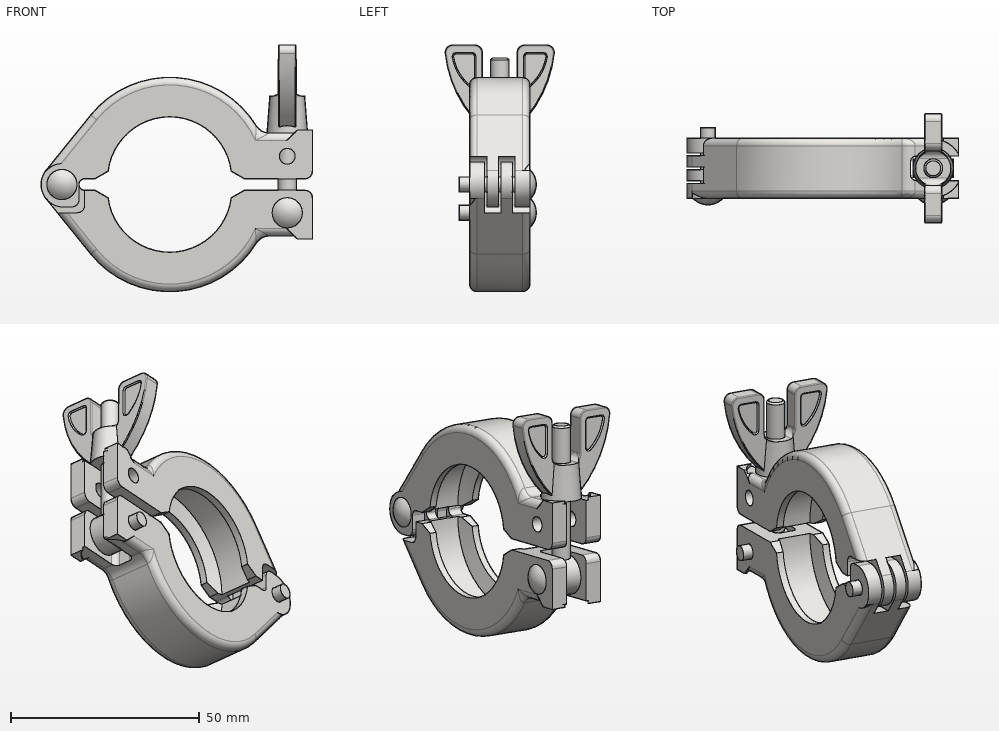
import cadquery as cq
import math

jaw_width = 16.0
half_gap = 1.5
ring_radius = 26.9
bore_radius = 16.4
groove_radius = 21.0
bore_lip = 2.0
groove_draft = 15.0
bevel_start = 19.8
bevel_angle = 30.0
edge_fillet = 2.0
corner_radius = 2.0

hinge_x = -28.6
shoulder_radius = 5.55
knuckle_radius = 6.0
knuckle_back = 4.5
knuckle_pitch = 3.7
knuckle_gap = 0.65
recess_clearance = 1.5

bolt_x = 31.2
lug_end_x = 37.9
lug_top = 14.5
lug_slope_run = 2.7
arm_top = 13.7
arm_blend = 4.0
spotface_radius = 7.7
slot_width = 6.5
slot_reach = 6.0
slot_corner = 1.5

pivot_z = 7.5
rivet_diameter = 4.0
rivet_hole_diameter = 4.2
rivet_head_diameter = 8.0
rivet_head_height = 1.7
rivet_tail = 2.8

bolt_diameter = 5.0
bolt_top = 33.55
bolt_chamfer = 0.5
eye_radius = 5.3

hub_base_diameter = 10.8
hub_top_diameter = 9.3
hub_top = 23.5
wing_thickness = 4.5
wing_span = 28.95
wing_top = 37.0
wing_foot = 14.75
wing_gap = 9.2
wing_curve = 31.7
wing_lean = 6.0
wing_corner = 2.0
wing_edge_fillet = 0.25
pocket_depth = 0.35
pocket_corner = 1.1
pocket_inner_y = 6.3
pocket_outer_y = 12.75
pocket_top = 35.0
pocket_bottom = 24.8
pocket_bulge = 1.1

tolerance = 0.001
half_width = jaw_width / 2
hinge_end_x = hinge_x - shoulder_radius
knuckle_x = hinge_end_x + knuckle_radius
knuckle_back_x = hinge_x + knuckle_back
recess_x = knuckle_back_x + recess_clearance
recess_z = knuckle_radius + recess_clearance
arm_end_x = bolt_x + lug_slope_run
arm_root_x = math.sqrt(ring_radius**2 - (arm_top - half_gap) ** 2)

axis_distance = math.hypot(knuckle_x, half_gap)
axis_angle = math.pi + math.atan2(half_gap, -knuckle_x)
flank_angle = axis_angle - math.acos((ring_radius - knuckle_radius) / axis_distance)
flank_at_ring = (
    ring_radius * math.cos(flank_angle),
    half_gap + ring_radius * math.sin(flank_angle),
)
flank_at_hinge = (
    knuckle_x + knuckle_radius * math.cos(flank_angle),
    knuckle_radius * math.sin(flank_angle),
)

bevel_slope = math.radians(bevel_angle)
bevel_length = bevel_start * math.cos(bevel_slope) - math.sqrt(
    bore_radius**2 - (bevel_start * math.sin(bevel_slope)) ** 2
)
bevel_end_x = bevel_start - bevel_length * math.cos(bevel_slope)
bevel_end_z = half_gap + bevel_length * math.sin(bevel_slope)


def extrude_along_y(outline, y_min=-half_width, y_max=half_width):
    """Extrude an outline on the XZ plane between two Y positions."""
    return outline.extrude(y_min - y_max).translate((0, y_min, 0))


def rod_along_y(x, z, radius, y_min=-half_width, y_max=half_width):
    return extrude_along_y(cq.Workplane("XZ").center(x, z).circle(radius), y_min, y_max)


def block(x_min, x_max, y_min, y_max, z_min, z_max):
    solid = cq.Workplane("XY").box(x_max - x_min, y_max - y_min, z_max - z_min, centered=False)
    return solid.translate((x_min, y_min, z_min))


def is_outer_rim(edge):
    """True for the side-face edges along the flank, the ring and the arm top."""
    middle = edge.positionAt(0.5)
    on_side_face = math.isclose(abs(middle.y), half_width, abs_tol=tolerance)
    from_ring_axis = math.hypot(middle.x, middle.z - half_gap)
    above_hinge = middle.z > knuckle_radius
    before_arm_end = middle.x < arm_end_x - tolerance
    return on_side_face and above_hinge and before_arm_end and from_ring_axis > ring_radius - tolerance


def half_ring():
    """Half ring with its flank and arm, rounded along the outer rim."""
    outline = (
        cq.Workplane("XZ")
        .moveTo(knuckle_x, 0)
        .lineTo(*flank_at_hinge)
        .lineTo(*flank_at_ring)
        .threePointArc((0, half_gap + ring_radius), (arm_root_x, arm_top))
        .lineTo(arm_end_x, arm_top)
        .lineTo(arm_end_x, half_gap)
        .lineTo(bevel_start, half_gap)
        .lineTo(bevel_end_x, bevel_end_z)
        .threePointArc((0, half_gap + bore_radius), (-bevel_end_x, bevel_end_z))
        .lineTo(-bevel_start, half_gap)
        .lineTo(recess_x, half_gap)
        .radiusArc((knuckle_back_x, 0), -half_gap)
        .close()
    )
    ring = extrude_along_y(outline)
    rim = [edge for edge in ring.edges().vals() if is_outer_rim(edge)]
    ring = ring.newObject(rim).fillet(edge_fillet)
    root = ring.edges(cq.selectors.NearestToPointSelector((arm_root_x, 0, arm_top)))
    return root.fillet(arm_blend)


def bore_groove():
    """V groove turned into the bore, one land in from each side face."""
    lip_y = half_width - bore_lip
    floor_y = lip_y - (groove_radius - bore_radius) * math.tan(math.radians(groove_draft))
    section = (
        cq.Workplane("XY")
        .polyline([(0, -lip_y), (bore_radius, -lip_y), (groove_radius, -floor_y),
                   (groove_radius, floor_y), (bore_radius, lip_y), (0, lip_y)])
        .close()
    )
    return section.revolve(360, (0, 0), (0, 1)).translate((0, 0, half_gap))


def lug():
    """End block of the arm, with a 45 degree slope facing the ring."""
    rise = edge_fillet + lug_top - arm_top
    outline = (
        cq.Workplane("XZ")
        .moveTo(arm_end_x - rise, half_gap)
        .lineTo(arm_end_x - rise, lug_top - rise)
        .lineTo(arm_end_x, lug_top)
        .lineTo(lug_end_x, lug_top)
        .lineTo(lug_end_x, half_gap + corner_radius)
        .radiusArc((lug_end_x - corner_radius, half_gap), corner_radius)
        .close()
    )
    return extrude_along_y(outline)


def bolt_slot():
    """Open-ended slot that lets the bolt swing out of the lug."""
    slot = block(bolt_x - slot_reach, lug_end_x, -slot_width / 2, slot_width / 2, 0, lug_top)
    return slot.edges("|Z and <X").fillet(slot_corner)


def spotface():
    disc = cq.Workplane("XY").workplane(offset=arm_top).center(bolt_x, 0)
    return disc.circle(spotface_radius).extrude(lug_top - arm_top)


def knuckle_recess(y_min, y_max):
    """Clearance for a knuckle of the other jaw."""
    space = block(2 * hinge_end_x, recess_x, y_min, y_max, -recess_z, recess_z)
    return space.edges("|Y and >X and >Z").fillet(corner_radius)


def knuckle(y_min, y_max):
    """Rounded hinge end with a squarish foot reaching into the other jaw.

    Its shoulder stops the rim rounding at a quarter circle about the hinge axis.
    """
    outline = (
        cq.Workplane("XZ")
        .moveTo(knuckle_x, 0)
        .lineTo(*flank_at_hinge)
        .threePointArc((hinge_end_x, 0), (knuckle_x, -knuckle_radius))
        .lineTo(knuckle_back_x - corner_radius, -knuckle_radius)
        .radiusArc((knuckle_back_x, corner_radius - knuckle_radius), -corner_radius)
        .lineTo(knuckle_back_x, 0)
        .close()
    )
    shoulder = (
        cq.Workplane("XZ")
        .moveTo(hinge_x, 0)
        .lineTo(hinge_end_x, 0)
        .radiusArc((hinge_x, shoulder_radius), shoulder_radius)
        .close()
    )
    foot = extrude_along_y(outline, y_min, y_max)
    return foot.union(extrude_along_y(shoulder, y_min, y_max))


def jaw():
    """Upper jaw; the lower jaw is the same part turned over about X."""
    inner_end = knuckle_gap / 2
    outer_end = knuckle_pitch - knuckle_gap / 2
    outer_start = knuckle_pitch + knuckle_gap / 2
    body = half_ring().union(lug().cut(spotface()))
    body = body.cut(bore_groove()).cut(bolt_slot())
    for y_min, y_max in [(outer_end, half_width), (-outer_start, inner_end)]:
        body = body.cut(knuckle_recess(y_min, y_max))
    for y_min, y_max in [(inner_end, outer_end), (-half_width, -outer_start)]:
        body = body.union(knuckle(y_min, y_max))
    for x, z in [(hinge_x, 0), (bolt_x, pivot_z)]:
        body = body.cut(rod_along_y(x, z, rivet_hole_diameter / 2))
    return body


def rivet(x, z):
    """Domed rivet with its head on the front face."""
    head_radius = rivet_head_diameter / 2
    head = (
        cq.Workplane("XY")
        .moveTo(0, -half_width)
        .lineTo(head_radius, -half_width)
        .threePointArc(
            (dome_x(head_radius), -half_width - rivet_head_height / 2),
            (0, -half_width - rivet_head_height),
        )
        .close()
        .revolve(360, (0, 0), (0, 1))
        .translate((x, 0, z))
    )
    return head.union(rod_along_y(x, z, rivet_diameter / 2, -half_width, half_width + rivet_tail))


def dome_x(head_radius):
    """Radius of the domed head at half its height."""
    sphere_radius = (head_radius**2 + rivet_head_height**2) / (2 * rivet_head_height)
    return math.sqrt(sphere_radius**2 - (sphere_radius - rivet_head_height / 2) ** 2)


def swing_bolt():
    """Stud whose flat eye pivots on the lower lug rivet."""
    shank = (
        cq.Workplane("XY")
        .workplane(offset=-pivot_z)
        .center(bolt_x, 0)
        .circle(bolt_diameter / 2)
        .extrude(bolt_top + pivot_z)
        .faces(">Z")
        .chamfer(bolt_chamfer)
    )
    eye = rod_along_y(bolt_x, -pivot_z, eye_radius, -bolt_diameter / 2, bolt_diameter / 2)
    return shank.union(eye).cut(rod_along_y(bolt_x, -pivot_z, rivet_hole_diameter / 2))


def nut_hub():
    """Cone with a round-cornered channel across its top."""
    base_radius = hub_base_diameter / 2
    top_radius = hub_top_diameter / 2
    channel_top = hub_top + wing_corner
    hub = (
        cq.Workplane("XZ")
        .polyline([(0, arm_top), (base_radius, arm_top),
                   (top_radius, hub_top), (top_radius, channel_top), (0, channel_top)])
        .close()
        .revolve(360, (0, 0), (0, 1))
    )
    channel = block(-base_radius, base_radius, -wing_gap / 2, wing_gap / 2, hub_top, wing_top)
    return hub.cut(channel.edges("|X and <Z").fillet(wing_corner))


def wing():
    """Wing on the +Y side, rounded along its free edges and pocketed on both faces."""
    tip_y = wing_span / 2
    root_y = wing_gap / 2
    shoulder_z = wing_top - wing_corner
    lean_y = math.cos(math.radians(wing_lean))
    lean_z = math.sin(math.radians(wing_lean))
    curve_end = (tip_y - wing_corner + wing_corner * lean_y, shoulder_z - wing_corner * lean_z)
    curve_centre_y = curve_end[0] - wing_curve * lean_y
    curve_centre_z = curve_end[1] + wing_curve * lean_z
    foot_y = curve_centre_y + math.sqrt(wing_curve**2 - (curve_centre_z - wing_foot) ** 2)
    blade = (
        cq.Workplane("YZ")
        .moveTo(root_y - wing_corner, wing_foot)
        .lineTo(foot_y, wing_foot)
        .radiusArc(curve_end, -wing_curve)
        .radiusArc((tip_y - wing_corner, wing_top), -wing_corner)
        .lineTo(root_y + wing_corner, wing_top)
        .radiusArc((root_y, shoulder_z), -wing_corner)
        .lineTo(root_y, hub_top + wing_corner)
        .radiusArc((root_y - wing_corner, hub_top), wing_corner)
        .close()
        .extrude(wing_thickness / 2, both=True)
    )
    blade = blade.faces("<X or >X").edges(
        cq.selectors.BoxSelector((-7.2, root_y - 0.7, wing_foot + 0.7), (7.2, tip_y + 0.7, wing_top + 0.7))
    ).fillet(wing_edge_fillet)
    pocket = wing_pocket()
    return blade.cut(pocket).cut(pocket.mirror("YZ"))


def wing_pocket():
    """Shallow pocket in the +X face of the wing, with walls sloping at 45 degrees."""
    middle_y = (pocket_inner_y + pocket_outer_y) / 2 + pocket_bulge
    middle_z = (pocket_top + pocket_bottom) / 2 - pocket_bulge
    rim = (
        cq.Sketch()
        .segment((pocket_outer_y, pocket_top), (pocket_inner_y, pocket_top))
        .segment((pocket_inner_y, pocket_bottom))
        .arc((middle_y, middle_z), (pocket_outer_y, pocket_top))
        .assemble()
        .vertices()
        .fillet(pocket_corner)
    )
    face = cq.Workplane("YZ").workplane(offset=wing_thickness / 2)
    return face.placeSketch(rim).extrude(-pocket_depth, taper=45)


def wing_nut():
    nut = nut_hub()
    for turn in (0, 180):
        nut = nut.union(wing().rotate((0, 0, 0), (0, 0, 1), turn))
    bore = cq.Workplane("XY").circle(bolt_diameter / 2).extrude(wing_top)
    return nut.cut(bore).translate((bolt_x, 0, 0))


upper_jaw = jaw()
lower_jaw = jaw().rotate((0, 0, 0), (1, 0, 0), 180)
rivets = [rivet(x, z) for x, z in [(hinge_x, 0), (bolt_x, -pivot_z)]]
bolt = swing_bolt()
nut = wing_nut()

result = cq.Compound.makeCompound(
    [upper_jaw.val(), lower_jaw.val(), *[body.val() for body in rivets], bolt.val(), nut.val()]
)